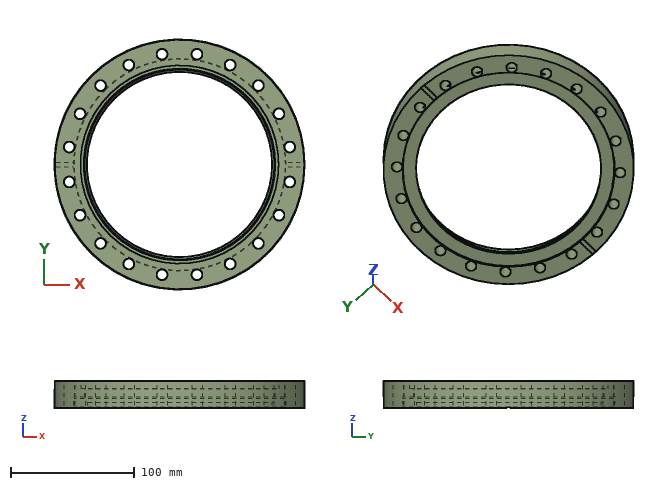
import cadquery as cq
import math

ring_diameter = 203.0
ring_height = 22.0
rim_chamfer = 0.5
mouth_diameter = 160.8
mouth_depth = 6.0
lip_diameter = 154.7
lip_chamfer = 0.5
seat_diameter = 172.1
seat_height = 9.1

bolt_count = 20
bolt_circle_diameter = 181.0
bolt_hole_diameter = 8.5

groove_width = 3.7
groove_depth = 0.6

insert_diameter = 171.3
insert_recess = 1.2
insert_top = 8.1
insert_bore_diameter = 150.0
insert_mouth_diameter = 153.9
insert_mouth_depth = 3.2


def revolve_section(outline):
    """Close a half section in the XZ plane and turn it once around the Z axis."""
    return outline.close().revolve(360, (0, 0), (0, 1))


def make_bolt_ring():
    """Outer ring with a stepped bore, bolt holes and two leak-check grooves."""
    outer_radius = ring_diameter / 2
    mouth_radius = mouth_diameter / 2
    lip_radius = lip_diameter / 2
    seat_radius = seat_diameter / 2
    lip_top = ring_height - mouth_depth

    ring = revolve_section(
        cq.Workplane("XZ")
        .moveTo(seat_radius, 0)
        .lineTo(outer_radius, 0)
        .lineTo(outer_radius, ring_height - rim_chamfer)
        .lineTo(outer_radius - rim_chamfer, ring_height)
        .lineTo(mouth_radius, ring_height)
        .lineTo(mouth_radius, lip_top)
        .lineTo(lip_radius + lip_chamfer, lip_top)
        .lineTo(lip_radius, lip_top - lip_chamfer)
        .lineTo(lip_radius, seat_height)
        .lineTo(seat_radius, seat_height)
    )

    bolt_holes = (
        cq.Workplane("XY")
        .polarArray(bolt_circle_diameter / 2, 180 / bolt_count, 360, bolt_count)
        .circle(bolt_hole_diameter / 2)
        .extrude(ring_height)
    )
    ring = ring.cut(bolt_holes)

    channel = (
        cq.Workplane("YZ")
        .moveTo(-groove_width / 2, 0)
        .threePointArc((0, groove_depth), (groove_width / 2, 0))
        .close()
        .extrude(ring_diameter / 2, both=True)
    )
    return ring.cut(channel)


def make_insert():
    """Flat sealing ring whose bore widens upward through a concave fillet."""
    outer_radius = insert_diameter / 2
    bore_radius = insert_bore_diameter / 2
    mouth_radius = insert_mouth_diameter / 2
    fillet_radius = mouth_radius - bore_radius
    fillet_bottom = insert_top - insert_mouth_depth
    fillet_top = fillet_bottom + fillet_radius
    fillet_reach = fillet_radius * math.sqrt(0.5)
    fillet_middle = (bore_radius + fillet_reach, fillet_top - fillet_reach)

    return revolve_section(
        cq.Workplane("XZ")
        .moveTo(bore_radius, insert_recess)
        .lineTo(outer_radius, insert_recess)
        .lineTo(outer_radius, insert_top)
        .lineTo(mouth_radius, insert_top)
        .lineTo(mouth_radius, fillet_top)
        .threePointArc(fillet_middle, (bore_radius, fillet_bottom))
    )


bolt_ring = make_bolt_ring()
insert = make_insert()
result = cq.Compound.makeCompound([bolt_ring.val(), insert.val()])